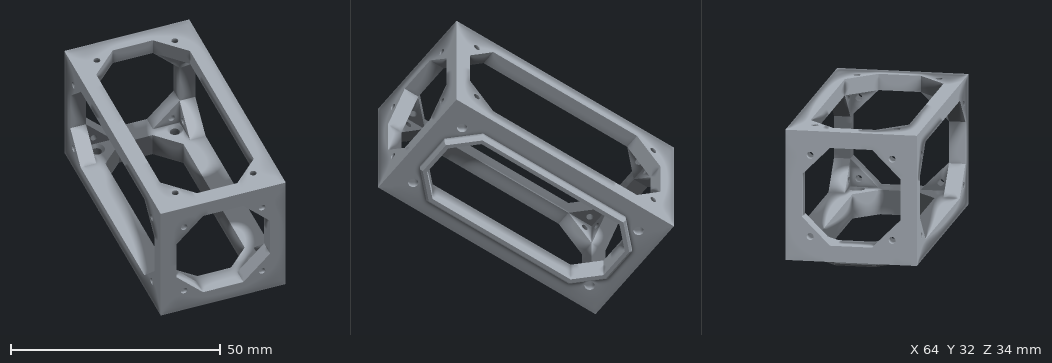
import cadquery as cq
import math

length = 64.0
width = 32.0
height = 32.0
window_width = 24.0
window_corner = 6.85
wall = (width - window_width) / 2

total_height = 34.0
lip_height = total_height - height
lip_inset = 4.4
lip_chamfer = 0.6
floor_opening_inset = 6.0

hole_inset = 6.0
hole_diameter = 1.65
floor_hole_diameter = 2.4
countersink_diameter = 3.9
countersink_angle = 90.0

CORNER_SHRINK = 2 - math.sqrt(2)

NORMAL_EDGES = {"XY": "|Z", "XZ": "|Y", "YZ": "|X"}


def octagon_prism(plane, size_u, size_v, inset, depth):
    """Octagonal prism centred on the origin, inset from a face and parallel to its window."""
    corner_leg = window_corner - (inset - wall) * CORNER_SHRINK
    block = cq.Workplane(plane).box(size_u - 2 * inset, size_v - 2 * inset, depth)
    return block.edges(NORMAL_EDGES[plane]).chamfer(corner_leg)


def hole_pattern(plane, size_u, size_v):
    """Workplane through the origin with a point at each corner hole of a face."""
    corners = cq.Workplane(plane).rect(size_u - 2 * hole_inset, size_v - 2 * hole_inset, forConstruction=True)
    return corners.vertices()


def hole_rods(plane, size_u, size_v, depth):
    """Four screw hole rods, centred on the origin."""
    return hole_pattern(plane, size_u, size_v).circle(hole_diameter / 2).extrude(depth / 2, both=True)


def countersunk_tools():
    """Four floor hole tools, with the wide end of the countersink at z = 0."""
    hole_radius = floor_hole_diameter / 2
    rim_radius = countersink_diameter / 2
    cone_depth = (rim_radius - hole_radius) / math.tan(math.radians(countersink_angle / 2))
    profile = [
        (0, 0),
        (rim_radius, 0),
        (hole_radius, -cone_depth),
        (hole_radius, -wall),
        (0, -wall),
    ]
    tool = cq.Workplane("XZ").polyline(profile).close().revolve(360, (0, 0), (0, 1)).val()
    return hole_pattern("XY", length, width).eachpoint(lambda place: tool.moved(place))


frame = cq.Workplane("XY").box(length, width, height)
frame = frame.cut(cq.Workplane("XY").box(length - 2 * wall, width - 2 * wall, height - 2 * wall))

lip = octagon_prism("XY", length, width, lip_inset, lip_height)
lip = lip.faces("<Z").chamfer(lip_chamfer)
frame = frame.union(lip.translate((0, 0, -(height + lip_height) / 2)))

for plane, size_u, size_v, depth in (("XZ", length, height, width), ("YZ", width, height, length)):
    frame = frame.cut(octagon_prism(plane, size_u, size_v, wall, depth))
    frame = frame.cut(hole_rods(plane, size_u, size_v, depth))

roof_middle = (0, 0, (height - wall) / 2)
frame = frame.cut(octagon_prism("XY", length, width, wall, wall).translate(roof_middle))
frame = frame.cut(hole_rods("XY", length, width, wall).translate(roof_middle))

floor_top = wall - height / 2
floor_depth = wall + lip_height
floor_opening = octagon_prism("XY", length, width, floor_opening_inset, floor_depth)
frame = frame.cut(floor_opening.translate((0, 0, floor_top - floor_depth / 2)))
frame = frame.cut(countersunk_tools().translate((0, 0, floor_top)))

result = frame